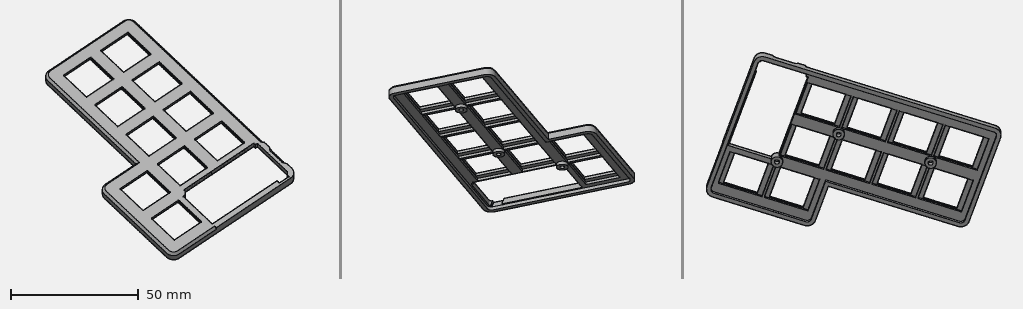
import cadquery as cq

length = 101.8
width = 63.8
height = 3.8
pitch = (length - width) / 2
margin = (length - 4 * pitch) / 2
key_size = 13.9
key_centers = [(col * pitch, row * pitch) for row in (0, 1) for col in (-2, -1, 0, 1)]
key_centers += [(pitch, -pitch), (2 * pitch, -pitch)]

corner_radius = 3.5
edge_chamfer = 1.0

cavity_depth = 1.4
rim = 1.7

clip_lip = 1.2
side_relief = 2.0
end_relief = 0.2

boss_diameter = 4.6
screw_diameter = 1.8
screw_depth = 2.5
boss_centers = [(-1.5 * pitch, pitch / 2), (pitch / 2, pitch / 2), (1.5 * pitch, -pitch / 2)]

wall = 2.4
window_left = 1.5 * pitch
window_right = length / 2 - wall
window_bottom = -pitch / 2
window_top = width / 2 - wall
window_fillet = 0.9
corner_block = 1.0

plain_edge_left = 29.5
plain_edge_run = 1.2

plug_x = 39.2
plug_radius = 0.8
plug_straight = 7.2

switch_top = window_top - corner_block
switch_length = 4.9
switch_depth = 1.4
switch_slant = 0.9


def box(x0, x1, y0, y1, z0, z1):
    """Box given by its limits along each axis."""
    return cq.Workplane("XY").box(x1 - x0, y1 - y0, z1 - z0, centered=False).translate((x0, y0, z0))


def l_plate(inset, radius, z0, z1):
    """L-shaped plate, inset from the outer edge, with its outer corners rounded."""
    right = length / 2 - inset
    back = width / 2 - inset
    step_x = pitch - margin + inset
    step_y = -margin + inset
    upper = box(-right, right, step_y, back, z0, z1).edges("|Z").fillet(radius)
    lower = box(step_x, right, -back, back, z0, z1).edges("|Z").fillet(radius)
    return upper.union(lower)


def base():
    body = l_plate(0, corner_radius, 0, height)
    plain = (
        cq.Workplane("XY")
        .polyline([
            (plain_edge_left, width / 2 - edge_chamfer),
            (plain_edge_left + plain_edge_run, width / 2),
            (length / 2, width / 2),
            (length / 2, window_bottom),
            (plain_edge_left, window_bottom),
        ])
        .close()
        .extrude(height)
        .intersect(body)
    )
    return body.faces(">Z").edges().chamfer(edge_chamfer).union(plain)


def bosses():
    return cq.Workplane("XY").pushPoints(boss_centers).circle(boss_diameter / 2).extrude(height)


def screw_holes():
    return cq.Workplane("XY").pushPoints(boss_centers).circle(screw_diameter / 2).extrude(screw_depth)


def key_openings():
    lip_z = height - clip_lip
    relief_length = key_size + 2 * side_relief
    relief_width = key_size + 2 * end_relief
    through = cq.Workplane("XY").pushPoints(key_centers).rect(key_size, key_size).extrude(height)
    relief = cq.Workplane("XY").pushPoints(key_centers).rect(relief_length, relief_width).extrude(lip_z)
    return through.union(relief)


def window():
    opening = box(window_left, window_right, window_bottom, window_top, 0, height)
    opening = opening.edges("|Z and >X and >Y").fillet(window_fillet)
    block_right = window_left + corner_block
    block_front = window_top - corner_block
    block = box(window_left, block_right, block_front, window_top, 0, height)
    return opening.cut(block)


def plug_relief():
    outer_radius = plug_radius + edge_chamfer
    return (
        cq.Workplane("XZ", origin=(plug_x, width / 2, height + plug_radius))
        .slot2D(plug_straight + 2 * outer_radius, 2 * outer_radius)
        .extrude(edge_chamfer, taper=45)
    )


def switch_pocket():
    bottom = switch_top - switch_length
    return (
        cq.Workplane("YZ", origin=(window_right, 0, 0))
        .polyline([
            (bottom + switch_slant, cavity_depth),
            (bottom, height),
            (switch_top, height),
            (switch_top + switch_slant, cavity_depth),
        ])
        .close()
        .extrude(switch_depth)
    )


cavity = l_plate(rim, corner_radius - rim, 0, cavity_depth)
result = (
    base()
    .cut(cavity)
    .cut(key_openings())
    .cut(window())
    .cut(switch_pocket())
    .union(bosses())
    .cut(screw_holes())
    .cut(plug_relief())
)